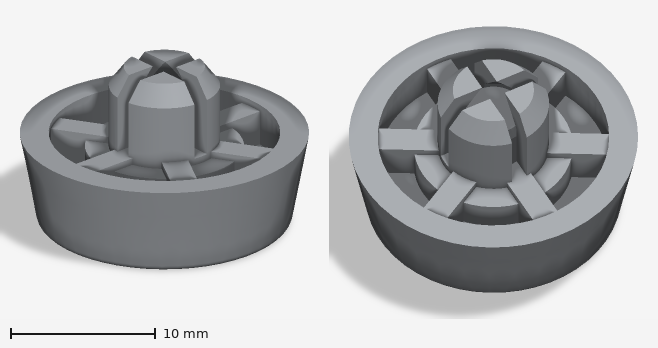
import cadquery as cq

total_height = 11.5
cup_height = 6.5
rim_radius = 10.0
base_radius = 8.79
base_fillet = 0.5
pocket_radius = 8.0
floor_z = 3.5

rib_count = 6
rib_width = 1.87
rib_top_z = cup_height - 0.5
disc_radius = 5.5
disc_top_z = rib_top_z - 0.5

post_radius = 3.85
post_tip_radius = 2.8
post_taper_height = 1.4
slot_width = 1.15
slot_count = 2

pin_radius = 2.4
pin_tip_radius = 2.1
pin_taper_height = 0.7
pin_top_z = 9.4
bore_tip_radius = 0.8


def cylinder(radius, bottom_z, top_z):
    return cq.Workplane("XY").workplane(offset=bottom_z).circle(radius).extrude(top_z - bottom_z)


def tapered_rod(radius, tip_radius, bottom_z, shoulder_z, top_z):
    """Cylinder up to the shoulder, then a cone narrowing to the tip."""
    return (
        cq.Workplane("XZ")
        .moveTo(0, bottom_z)
        .lineTo(radius, bottom_z)
        .lineTo(radius, shoulder_z)
        .lineTo(tip_radius, top_z)
        .lineTo(0, top_z)
        .close()
        .revolve(360, (0, 0), (0, 1))
    )


def make_cup():
    """Solid that widens from its rounded base to the rim, with a round pocket in the top."""
    blank = cq.Workplane(cq.Solid.makeCone(base_radius, rim_radius, cup_height))
    blank = blank.faces("<Z").edges().fillet(base_fillet)
    return blank.cut(cylinder(pocket_radius, floor_z, cup_height))


def crossing_bars(width, bottom_z, top_z, count):
    """Bars through the Z axis, evenly turned about it, the first along Y."""
    bars = cq.Workplane("XY")
    for index in range(count):
        bar = (
            cq.Workplane("XY")
            .workplane(offset=bottom_z)
            .rect(width, 2 * rim_radius)
            .extrude(top_z - bottom_z)
            .rotate((0, 0, 0), (0, 0, 1), index * 180 / count)
        )
        bars = bars.union(bar)
    return bars


def make_ribs():
    """Radial ribs: bars across the pocket, trimmed to its round wall."""
    bars = crossing_bars(rib_width, floor_z, rib_top_z, rib_count // 2)
    return bars.intersect(cylinder(pocket_radius, floor_z, rib_top_z))


def make_post():
    """Taper-tipped post, split into four quarters by two crossed slots down to the rib tops."""
    shoulder_z = total_height - post_taper_height
    post = tapered_rod(post_radius, post_tip_radius, floor_z, shoulder_z, total_height)
    return post.cut(crossing_bars(slot_width, rib_top_z, total_height, slot_count))


def make_foot():
    """Cup with disc, ribs and post, bored from the base; the bore closes in as a cone above the pin."""
    bore = tapered_rod(pin_radius, bore_tip_radius, 0, pin_top_z, total_height)
    return (
        make_cup()
        .union(cylinder(disc_radius, floor_z, disc_top_z))
        .union(make_ribs())
        .union(make_post())
        .cut(bore)
        .solids()
    )


def make_pin():
    """Pin that fills the bore from the base and ends in a tapered lead-in."""
    return tapered_rod(pin_radius, pin_tip_radius, 0, pin_top_z - pin_taper_height, pin_top_z)


foot = make_foot()
pin = make_pin()

result = cq.Compound.makeCompound([foot.val(), pin.val()])